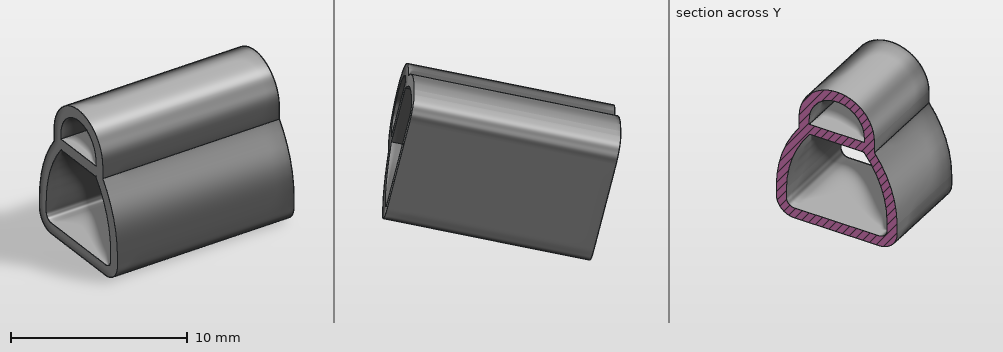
import cadquery as cq
import math

LENGTH = 12.0
BASE_WIDTH = 8.0
TOTAL_HEIGHT = 9.5
WALL = 0.7
DOME_RADIUS = 2.5
CORNER_RADIUS = 1.2
FLANK_START_HEIGHT = 1.8
FLANK_RADIUS = 7.25
WEB_BOTTOM = 6.0

HALF_WIDTH = BASE_WIDTH / 2
DOME_CENTER_HEIGHT = TOTAL_HEIGHT - DOME_RADIUS
FLANK_CENTER_X = HALF_WIDTH - FLANK_RADIUS
WEB_TOP = WEB_BOTTOM + WALL


def flank_height(x, radius):
    """Height at which a flank arc of the given radius reaches x."""
    return FLANK_START_HEIGHT + math.sqrt(radius**2 - (x - FLANK_CENTER_X) ** 2)


def flank_x(z, radius):
    """Distance from the middle plane at which a flank arc reaches height z."""
    return FLANK_CENTER_X + math.sqrt(radius**2 - (z - FLANK_START_HEIGHT) ** 2)


def flank_midpoint(x, z, radius):
    """Point halfway along the flank arc that ends at (x, z)."""
    half_angle = math.atan2(z - FLANK_START_HEIGHT, x - FLANK_CENTER_X) / 2
    return (
        FLANK_CENTER_X + radius * math.cos(half_angle),
        FLANK_START_HEIGHT + radius * math.sin(half_angle),
    )


def mirrored(point):
    """The same point on the other side of the middle plane."""
    return (-point[0], point[1])


def begin_body_outline(inset):
    """Bottom edge, right corner and right straight side, moved inward by inset."""
    side = HALF_WIDTH - inset
    radius = CORNER_RADIUS - inset
    return (
        cq.Workplane("XZ", origin=(0, LENGTH / 2, 0))
        .moveTo(-HALF_WIDTH + CORNER_RADIUS, inset)
        .lineTo(HALF_WIDTH - CORNER_RADIUS, inset)
        .radiusArc((side, CORNER_RADIUS), -radius)
        .lineTo(side, FLANK_START_HEIGHT)
    )


def close_and_extrude(outline, inset):
    """Add the left straight side and left corner, then extrude the closed outline."""
    radius = CORNER_RADIUS - inset
    return (
        outline.lineTo(-HALF_WIDTH + inset, CORNER_RADIUS)
        .radiusArc((-HALF_WIDTH + CORNER_RADIUS, inset), -radius)
        .close()
        .extrude(LENGTH)
    )


def outer_body():
    shoulder = (DOME_RADIUS, flank_height(DOME_RADIUS, FLANK_RADIUS))
    flank_mid = flank_midpoint(*shoulder, FLANK_RADIUS)
    outline = (
        begin_body_outline(0)
        .threePointArc(flank_mid, shoulder)
        .lineTo(DOME_RADIUS, DOME_CENTER_HEIGHT)
        .threePointArc((0, TOTAL_HEIGHT), (-DOME_RADIUS, DOME_CENTER_HEIGHT))
        .lineTo(*mirrored(shoulder))
        .threePointArc(mirrored(flank_mid), (-HALF_WIDTH, FLANK_START_HEIGHT))
    )
    return close_and_extrude(outline, 0)


def lower_cavity():
    radius = FLANK_RADIUS - WALL
    web_corner = (flank_x(WEB_BOTTOM, radius), WEB_BOTTOM)
    flank_mid = flank_midpoint(*web_corner, radius)
    outline = (
        begin_body_outline(WALL)
        .threePointArc(flank_mid, web_corner)
        .lineTo(*mirrored(web_corner))
        .threePointArc(mirrored(flank_mid), (-HALF_WIDTH + WALL, FLANK_START_HEIGHT))
    )
    return close_and_extrude(outline, WALL)


def upper_cavity():
    radius = DOME_RADIUS - WALL
    return (
        cq.Workplane("XZ", origin=(0, LENGTH / 2, 0))
        .moveTo(-radius, WEB_TOP)
        .lineTo(radius, WEB_TOP)
        .lineTo(radius, DOME_CENTER_HEIGHT)
        .threePointArc((0, DOME_CENTER_HEIGHT + radius), (-radius, DOME_CENTER_HEIGHT))
        .close()
        .extrude(LENGTH)
    )


result = outer_body().cut(lower_cavity()).cut(upper_cavity())